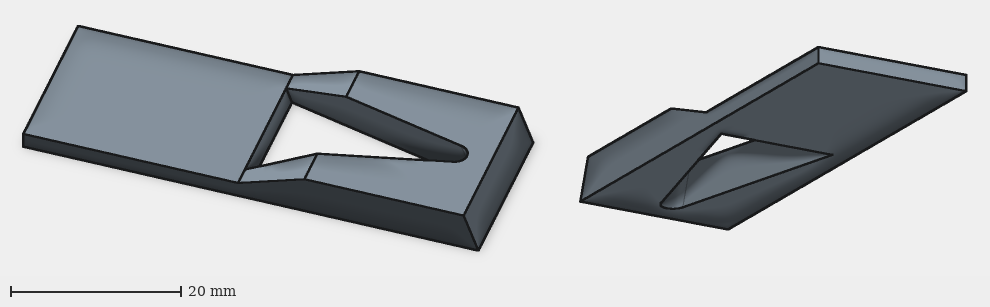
import cadquery as cq
import math

length = 56.45
width = 20.0
height = 5.0
plate_thickness = 2.05

ramp_angle = 20.0
ramp_foot_x = 26.65
ramp_rise = height - plate_thickness
ramp_top_x = ramp_foot_x + ramp_rise / math.tan(math.radians(ramp_angle))
end_top_x = length - height * math.tan(math.radians(ramp_angle))

opening_half_width = 7.5
opening_length = 24.5
nose_radius = 1.5
nose_center = opening_length - nose_radius


def wedge_body():
    """Thin plate that ramps up to a thicker block with a leaning end face."""
    profile = [
        (0, 0),
        (length, 0),
        (end_top_x, height),
        (ramp_top_x, height),
        (ramp_foot_x, plate_thickness),
        (0, plate_thickness),
    ]
    return cq.Workplane("XZ").polyline(profile).close().extrude(width / 2, both=True)


def tapered_opening():
    """Round-nosed triangular cutter running square to the ramp face."""
    slope = math.radians(ramp_angle)
    ramp_plane = cq.Plane(
        origin=(ramp_foot_x, 0, plate_thickness),
        xDir=(math.cos(slope), 0, math.sin(slope)),
        normal=(-math.sin(slope), 0, math.cos(slope)),
    )
    corner_distance = math.hypot(nose_center, opening_half_width)
    taper = math.atan2(opening_half_width, nose_center) - math.asin(nose_radius / corner_distance)
    tangent_x = nose_center + nose_radius * math.sin(taper)
    tangent_y = nose_radius * math.cos(taper)
    cut_reach = length
    return (
        cq.Workplane(ramp_plane)
        .moveTo(0, -opening_half_width)
        .lineTo(tangent_x, -tangent_y)
        .threePointArc((opening_length, 0), (tangent_x, tangent_y))
        .lineTo(0, opening_half_width)
        .close()
        .extrude(cut_reach, both=True)
    )


result = wedge_body().cut(tapered_opening())